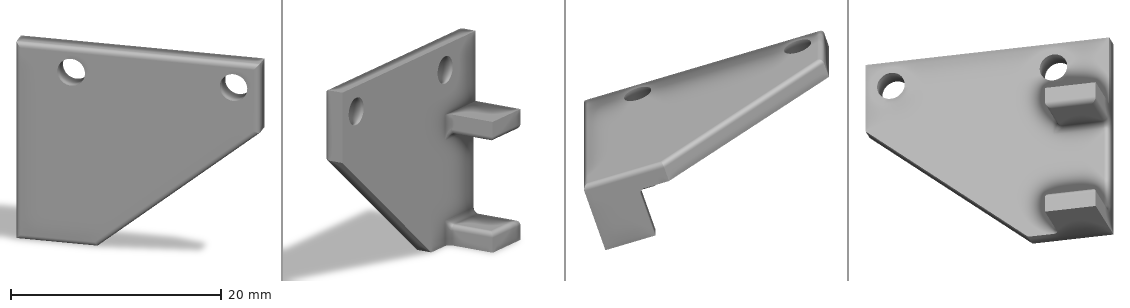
import cadquery as cq

length = 24.0
height = 20.0
plate_thickness = 2.0
bottom_length = 8.0
right_edge_bottom = 13.0

total_depth = 7.0
flange_width = 5.0
flange_thickness = 2.0
upper_flange_top = 13.0

hole_diameter = 2.7
hole_drop = 2.5
hole_positions = (5.5, 21.5)

edge_radius = 0.5

channel_bottom = flange_thickness
channel_top = upper_flange_top - flange_thickness


def make_plate():
    outline = [
        (0, 0),
        (bottom_length, 0),
        (length, right_edge_bottom),
        (length, height),
        (0, height),
    ]
    plate = cq.Workplane("XZ").polyline(outline).close().extrude(-plate_thickness)
    return plate.faces("<Y").edges().fillet(edge_radius)


def make_flange(bottom):
    """Flange with a concave fillet where its end wall meets the plate."""
    return (
        cq.Workplane("XY", origin=(0, 0, bottom))
        .moveTo(0, plate_thickness - edge_radius)
        .lineTo(flange_width + edge_radius, plate_thickness - edge_radius)
        .lineTo(flange_width + edge_radius, plate_thickness)
        .radiusArc((flange_width, plate_thickness + edge_radius), edge_radius)
        .lineTo(flange_width, total_depth)
        .lineTo(0, total_depth)
        .close()
        .extrude(flange_thickness)
    )


def edges_in_channel(x_range, y_range):
    """Box selector that catches edges whose centre lies within the channel height."""
    margin = 0.02
    return cq.selectors.BoxSelector(
        (x_range[0] - margin, y_range[0] - margin, channel_bottom - margin),
        (x_range[1] + margin, y_range[1] + margin, channel_top + margin),
    )


def round_channel(body):
    """Round the channel's inner corners, its flange tips and its side rims."""
    corners = edges_in_channel((0, flange_width), (plate_thickness, plate_thickness))
    body = body.edges("|X").edges(corners).fillet(edge_radius)

    tips = edges_in_channel((0, flange_width), (total_depth, total_depth))
    left_rim = edges_in_channel((0, 0), (plate_thickness, total_depth))
    right_rim = edges_in_channel((flange_width, flange_width), (plate_thickness, total_depth))
    return body.edges(tips + left_rim + right_rim).fillet(edge_radius)


def cut_holes(body):
    centers = [(x, height - hole_drop) for x in hole_positions]
    holes = cq.Workplane("XZ").pushPoints(centers).circle(hole_diameter / 2).extrude(-plate_thickness)
    return body.cut(holes)


body = make_plate()
for flange_bottom in (0, channel_top):
    body = body.union(make_flange(flange_bottom))

result = cut_holes(round_channel(body))